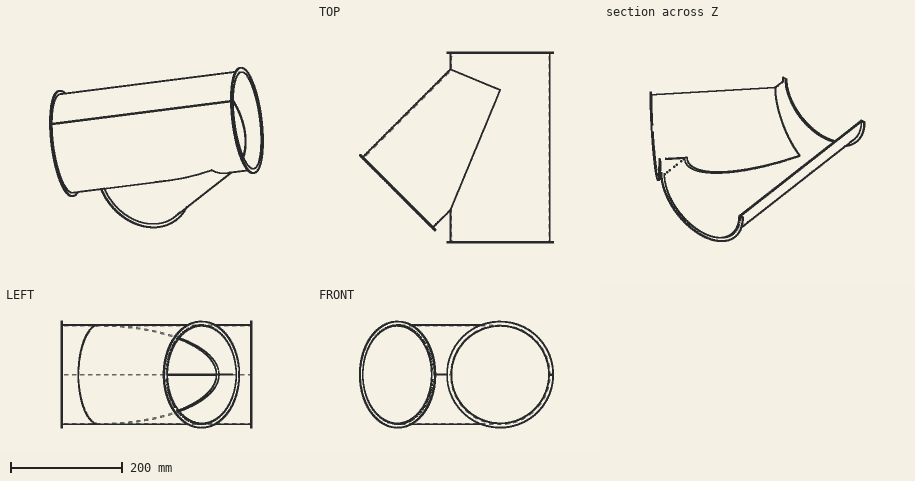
import cadquery as cq
import math

outer_diameter = 178.0
inner_diameter = 174.0
flange_diameter = 190.0
flange_thickness = 2.0

overall_width = 346
main_length = 340.0
main_front_length = 273.0

seam_gap = 0.7
branch_seam_margin = 11.8

main_back_angle = 90
main_front_angle = 270
branch_angle = 225
main_seam_angle = 0
branch_seam_angle = branch_angle + 90

flange_radius = flange_diameter / 2
branch_slope = math.radians(branch_angle - 180)
branch_length = (
    overall_width - flange_radius - flange_radius * math.sin(branch_slope)
) / math.cos(branch_slope)

wedge_reach = 2 * main_length
wedge_height = 2 * flange_diameter


def direction(angle):
    """Unit vector in the XY plane."""
    radians = math.radians(angle)
    return cq.Vector(math.cos(radians), math.sin(radians), 0)


def flanged_pipe(start, axis, length, flange_offsets, seam_side, seam_length):
    """Pipe with end flanges, slit from its start along the seam side."""
    base = cq.Workplane(cq.Plane(origin=start, xDir=seam_side, normal=axis))
    pipe = base.circle(outer_diameter / 2).extrude(length)
    for offset in flange_offsets:
        flange = base.workplane(offset=offset).circle(flange_radius).extrude(flange_thickness)
        pipe = pipe.union(flange)
    bore = base.circle(inner_diameter / 2).extrude(length)
    seam = base.rect(flange_diameter, seam_gap).extrude(seam_length)
    seam = seam.translate(seam_side * flange_radius)
    return pipe.cut(bore).cut(seam)


def miter_wedge():
    """Region of the branch, bounded by the two bisecting planes at the axis crossing."""
    front_miter = direction((main_front_angle + branch_angle) / 2) * wedge_reach
    middle = direction(branch_angle) * wedge_reach
    back_miter = direction((main_back_angle + branch_angle) / 2) * wedge_reach
    return (
        cq.Workplane("XY")
        .polyline([(0, 0)] + [(p.x, p.y) for p in (front_miter, middle, back_miter)])
        .close()
        .extrude(wedge_height / 2, both=True)
    )


wedge = miter_wedge()

main_pipe = flanged_pipe(
    start=direction(main_front_angle) * main_front_length,
    axis=direction(main_back_angle),
    length=main_length,
    flange_offsets=[0, main_length - flange_thickness],
    seam_side=direction(main_seam_angle),
    seam_length=main_length,
).cut(wedge)

branch_overrun = outer_diameter
branch_full_length = branch_overrun + branch_length
branch_pipe = flanged_pipe(
    start=direction(branch_angle) * -branch_overrun,
    axis=direction(branch_angle),
    length=branch_full_length,
    flange_offsets=[branch_full_length - flange_thickness],
    seam_side=direction(branch_seam_angle),
    seam_length=branch_full_length - branch_seam_margin,
).intersect(wedge)

result = cq.Compound.makeCompound([main_pipe.val(), branch_pipe.val()])